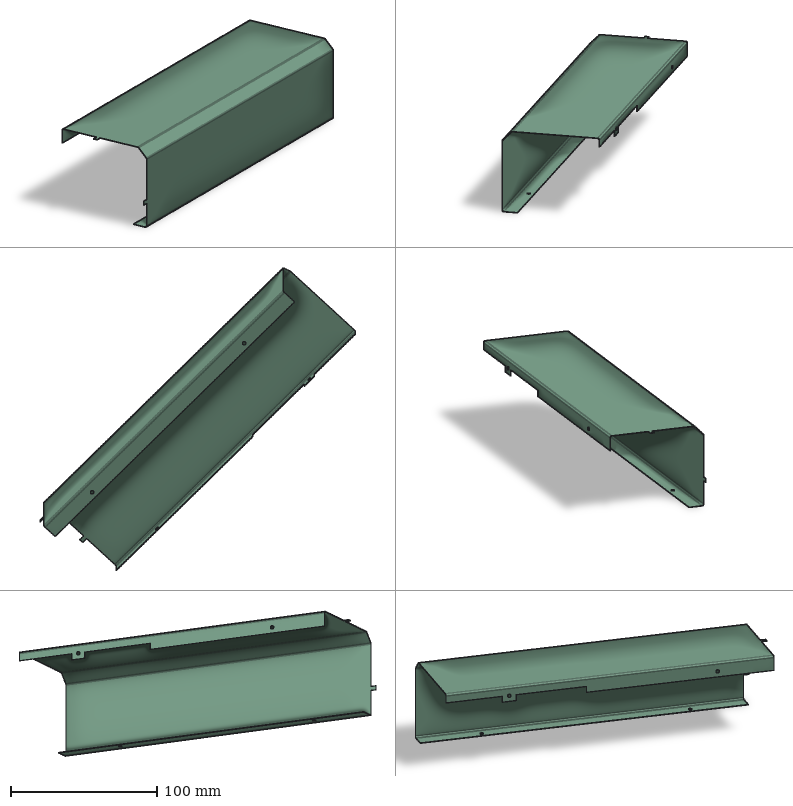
import cadquery as cq

width = 69.0
height = 58.0
total_length = 239.0
tab_length = 3.8
body_length = total_length - tab_length

thickness = 0.5
bend_radius = 1.5
chamfer_size = 7.0
left_flange = 10.8
bottom_lip = 11.0

tab_width = 2.9
top_tab_x = 29.6
side_tab_z = 19.4

relief_z = height - 6.5
relief_length = 100.9
ear_width = 10.0

hole_diameter = 2.5
hole_edge_distance = 4.0
rear_hole_y = body_length - 45.5
front_hole_y = 40.5
hole_positions = (front_hole_y, rear_hole_y)


def box(x_range, y_range, z_range):
    """Axis-aligned box spanning the three given ranges."""
    low, high = zip(x_range, y_range, z_range)
    sizes = [end - start for start, end in zip(low, high)]
    return cq.Workplane("XY").box(*sizes, centered=False).translate(low)


def folded_sheet():
    """Closed thin tube, opened at its lower left corner to leave the flange and lip."""
    outer = (
        cq.Workplane("XZ")
        .polyline([
            (0, 0),
            (width, 0),
            (width, height - chamfer_size),
            (width - chamfer_size, height),
            (0, height),
        ])
        .close()
        .extrude(-body_length)
        .edges("|Y")
        .fillet(bend_radius)
    )
    inner = outer.faces("<Y").wires().toPending().offset2D(-thickness).extrude(-body_length, combine=False)
    opening = box((0, width - bottom_lip), (0, body_length), (0, height - left_flange))
    return outer.cut(inner).cut(opening)


def locating_tabs():
    """Small tabs continuing the top and the side wall past the front edge."""
    half = tab_width / 2
    y_range = (-tab_length, thickness)
    top_tab = box((top_tab_x - half, top_tab_x + half), y_range, (height - thickness, height))
    side_tab = box((width - thickness, width), y_range, (side_tab_z - half, side_tab_z + half))
    return top_tab.union(side_tab)


def flange_relief():
    """Cutter shortening the rear of the left flange on both sides of the ear."""
    ear_start = rear_hole_y - ear_width / 2
    ear_end = rear_hole_y + ear_width / 2
    x_range = (0, bend_radius)
    z_range = (height - left_flange, relief_z)
    front_part = box(x_range, (body_length - relief_length, ear_start), z_range)
    rear_part = box(x_range, (ear_end, body_length), z_range)
    return front_part.union(rear_part)


def screw_holes():
    """Cutters for the holes through the left flange and the bottom lip."""
    flange_hole_z = height - left_flange + hole_edge_distance
    lip_hole_x = width - bottom_lip + hole_edge_distance
    radius = hole_diameter / 2
    flange_holes = (
        cq.Workplane("YZ")
        .pushPoints([(y, flange_hole_z) for y in hole_positions])
        .circle(radius)
        .extrude(bend_radius)
    )
    lip_holes = (
        cq.Workplane("XY")
        .pushPoints([(lip_hole_x, y) for y in hole_positions])
        .circle(radius)
        .extrude(bend_radius)
    )
    return flange_holes.union(lip_holes)


result = folded_sheet().union(locating_tabs()).cut(flange_relief()).cut(screw_holes())